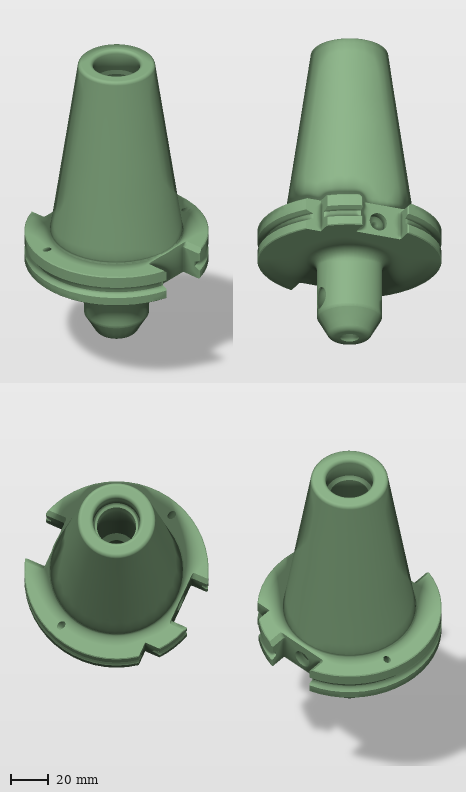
import cadquery as cq
import math


TOTAL_HEIGHT = 164.6

NOSE_RADIUS = 17.3
NOSE_CONE_HEIGHT = 11.7
NOSE_CONE_HALF_ANGLE = 30.0
NOSE_TIP_FILLET = 4.0
NOSE_SHOULDER_FILLET = 3.1
NOSE_ROOT_FILLET = 5.0

FLANGE_RADIUS = 48.7
FLANGE_BOTTOM = 44.0
FLANGE_TOP = 61.7
FLANGE_CHAMFER = 0.5

GROOVE_FLOOR_RADIUS = 45.5
GROOVE_FLOOR_BOTTOM = 50.5
GROOVE_FLOOR_TOP = 53.5
GROOVE_FLANK_RADIUS = 46.4
GROOVE_FLANK_HEIGHT = 1.3
GROOVE_WALL_HEIGHT = 0.3

TAPER_BOTTOM = 63.2
TAPER_LARGE_RADIUS = 35.0
TAPER_LAND_HEIGHT = 0.3
TAPER_SLOPE = 7 / 24 / 2
TAPER_TIP_FILLET = 2.0
UNDERCUT_RADIUS = 34.9
UNDERCUT_FILLET = 1.0

MOUTH_RADIUS = 12.5
MOUTH_DEPTH = 11.9
MOUTH_FILLET = 2.0
THREAD_RADIUS = 10.4
THREAD_BOTTOM = 98.8
RELIEF_RADIUS = 7.0
RELIEF_BOTTOM = 49.4
SHANK_RADIUS = 5.0
BORE_CONE_HALF_ANGLE = 60.0

SLOT_HALF_WIDTH = 12.8
SLOT_FLOOR_LEFT = 37.4
SLOT_FLOOR_RIGHT = 35.5
SLOT_CORNER_FILLET = 0.8
SLOT_TOP_CHAMFER = 2.5
SLOT_MOUTH_CHAMFER = 0.8

NOTCH_CORNER = 30.0

CHIP_RADIUS = 5.0
CHIP_DEPTH = 4.6
CHIP_HEIGHT = 51.8
CHIP_DIMPLE_RADIUS = 1.8
CHIP_DIMPLE_DEPTH = 1.0

COOLANT_RADIUS = 1.8
COOLANT_CIRCLE_RADIUS = 42.0
COOLANT_ANGLES = (70.0, 250.0)
COOLANT_TILT = 45.0
COOLANT_DEPTH = 9.9

SCREW_RADIUS = 6.0
SCREW_HEIGHT = 19.8
SCREW_TIP = 3.8
SCREW_LENGTH = 12.0
SCREW_TIP_CHAMFER = 1.3

FLANGE_THICKNESS = FLANGE_TOP - FLANGE_BOTTOM


def revolve(outline):
    """Turn a closed (radius, z) outline around the Z axis."""
    return outline.close().revolve(360, (0, 0, 0), (0, 1, 0))


def circle_edge(radius, z):
    """Selector for the circular edges of this radius at height z, centred on the axis."""
    margin = 0.08
    return cq.selectors.BoxSelector(
        (-radius - margin, -radius - margin, z - margin),
        (radius + margin, radius + margin, z + margin),
        boundingbox=True,
    )


def turned_blank():
    """Nose, flange and taper as one turned shape, without the bore."""
    tip_radius = NOSE_RADIUS - NOSE_CONE_HEIGHT * math.tan(math.radians(NOSE_CONE_HALF_ANGLE))
    taper_small_radius = TAPER_LARGE_RADIUS - (TOTAL_HEIGHT - TAPER_BOTTOM) * TAPER_SLOPE
    land_bottom = TAPER_BOTTOM - TAPER_LAND_HEIGHT
    lower_wall_start = GROOVE_FLOOR_BOTTOM - GROOVE_WALL_HEIGHT
    upper_wall_start = GROOVE_FLOOR_TOP + GROOVE_WALL_HEIGHT
    rim_radius = FLANGE_RADIUS - FLANGE_CHAMFER
    blank = revolve(
        cq.Workplane("XZ")
        .moveTo(0, 0)
        .lineTo(tip_radius, 0)
        .lineTo(NOSE_RADIUS, NOSE_CONE_HEIGHT)
        .lineTo(NOSE_RADIUS, FLANGE_BOTTOM)
        .lineTo(rim_radius, FLANGE_BOTTOM)
        .lineTo(FLANGE_RADIUS, FLANGE_BOTTOM + FLANGE_CHAMFER)
        .lineTo(FLANGE_RADIUS, lower_wall_start - GROOVE_FLANK_HEIGHT)
        .lineTo(GROOVE_FLANK_RADIUS, lower_wall_start)
        .lineTo(GROOVE_FLOOR_RADIUS, GROOVE_FLOOR_BOTTOM)
        .lineTo(GROOVE_FLOOR_RADIUS, GROOVE_FLOOR_TOP)
        .lineTo(GROOVE_FLANK_RADIUS, upper_wall_start)
        .lineTo(FLANGE_RADIUS, upper_wall_start + GROOVE_FLANK_HEIGHT)
        .lineTo(FLANGE_RADIUS, FLANGE_TOP - FLANGE_CHAMFER)
        .lineTo(rim_radius, FLANGE_TOP)
        .lineTo(UNDERCUT_RADIUS, FLANGE_TOP)
        .lineTo(UNDERCUT_RADIUS, land_bottom)
        .lineTo(TAPER_LARGE_RADIUS, land_bottom)
        .lineTo(TAPER_LARGE_RADIUS, TAPER_BOTTOM)
        .lineTo(taper_small_radius, TOTAL_HEIGHT)
        .lineTo(0, TOTAL_HEIGHT)
    )
    blank = blank.edges(circle_edge(tip_radius, 0)).fillet(NOSE_TIP_FILLET)
    blank = blank.edges(circle_edge(NOSE_RADIUS, NOSE_CONE_HEIGHT)).fillet(NOSE_SHOULDER_FILLET)
    blank = blank.edges(circle_edge(NOSE_RADIUS, FLANGE_BOTTOM)).fillet(NOSE_ROOT_FILLET)
    blank = blank.edges(circle_edge(UNDERCUT_RADIUS, FLANGE_TOP)).fillet(UNDERCUT_FILLET)
    return blank.edges(circle_edge(taper_small_radius, TOTAL_HEIGHT)).fillet(TAPER_TIP_FILLET)


def bore():
    """Stepped through bore with conical steps and a rounded mouth."""
    cone_slope = 1 / math.tan(math.radians(BORE_CONE_HALF_ANGLE))
    mouth_bottom = TOTAL_HEIGHT - MOUTH_DEPTH
    return revolve(
        cq.Workplane("XZ")
        .moveTo(0, 0)
        .lineTo(SHANK_RADIUS, 0)
        .lineTo(SHANK_RADIUS, RELIEF_BOTTOM - (RELIEF_RADIUS - SHANK_RADIUS) * cone_slope)
        .lineTo(RELIEF_RADIUS, RELIEF_BOTTOM)
        .lineTo(RELIEF_RADIUS, THREAD_BOTTOM - (THREAD_RADIUS - RELIEF_RADIUS) * cone_slope)
        .lineTo(THREAD_RADIUS, THREAD_BOTTOM)
        .lineTo(THREAD_RADIUS, mouth_bottom - (MOUTH_RADIUS - THREAD_RADIUS) * cone_slope)
        .lineTo(MOUTH_RADIUS, mouth_bottom)
        .lineTo(MOUTH_RADIUS, TOTAL_HEIGHT - MOUTH_FILLET)
        .radiusArc((MOUTH_RADIUS + MOUTH_FILLET, TOTAL_HEIGHT), MOUTH_FILLET)
        .lineTo(0, TOTAL_HEIGHT)
    )


def drive_slot(floor):
    """Cutter for the +X drive slot, with its floor at x = floor."""
    wall_end = math.sqrt(FLANGE_RADIUS**2 - SLOT_HALF_WIDTH**2)
    top_half_width = SLOT_HALF_WIDTH + SLOT_TOP_CHAMFER
    chamfer_bottom = FLANGE_TOP - SLOT_TOP_CHAMFER
    slot = (
        cq.Workplane("YZ", origin=(floor, 0, 0))
        .moveTo(-SLOT_HALF_WIDTH, FLANGE_BOTTOM)
        .lineTo(-SLOT_HALF_WIDTH, chamfer_bottom)
        .lineTo(-top_half_width, FLANGE_TOP)
        .lineTo(top_half_width, FLANGE_TOP)
        .lineTo(SLOT_HALF_WIDTH, chamfer_bottom)
        .lineTo(SLOT_HALF_WIDTH, FLANGE_BOTTOM)
        .close()
        .extrude(FLANGE_RADIUS - floor)
        .faces("<X")
        .edges("not |Y")
        .fillet(SLOT_CORNER_FILLET)
    )
    mouth_start = wall_end - SLOT_MOUTH_CHAMFER
    mouth_growth = FLANGE_RADIUS - mouth_start
    mouth_chamfer = (
        cq.Workplane("XY", origin=(0, 0, FLANGE_BOTTOM))
        .moveTo(mouth_start, -SLOT_HALF_WIDTH)
        .lineTo(mouth_start, SLOT_HALF_WIDTH)
        .lineTo(FLANGE_RADIUS, SLOT_HALF_WIDTH + mouth_growth)
        .lineTo(FLANGE_RADIUS, -SLOT_HALF_WIDTH - mouth_growth)
        .close()
        .extrude(FLANGE_THICKNESS)
    )
    return slot.union(mouth_chamfer)


def orientation_notch():
    """Square-cornered notch through the flange rim in the -X, +Y quarter."""
    side = FLANGE_RADIUS - NOTCH_CORNER
    return (
        cq.Workplane("XY")
        .box(side, side, FLANGE_THICKNESS, centered=False)
        .translate((-FLANGE_RADIUS, NOTCH_CORNER, FLANGE_BOTTOM))
    )


def chip_recess():
    """Round flat-bottomed recess with a drill-point dimple, entering from -X."""
    return (
        cq.Workplane("XY")
        .lineTo(CHIP_RADIUS, 0)
        .lineTo(CHIP_RADIUS, CHIP_DEPTH)
        .lineTo(CHIP_DIMPLE_RADIUS, CHIP_DEPTH)
        .lineTo(0, CHIP_DEPTH + CHIP_DIMPLE_DEPTH)
        .close()
        .revolve(360, (0, 0, 0), (0, 1, 0))
        .rotate((0, 0, 0), (0, 0, 1), -90)
        .translate((-SLOT_FLOOR_LEFT, 0, CHIP_HEIGHT))
    )


def coolant_hole(angle):
    """Slanted blind hole that opens in the flange top at the given angle around Z."""
    overrun = 2 * COOLANT_RADIUS
    return (
        cq.Workplane("XY", origin=(0, 0, -COOLANT_DEPTH))
        .circle(COOLANT_RADIUS)
        .extrude(COOLANT_DEPTH + overrun)
        .rotate((0, 0, 0), (0, 1, 0), COOLANT_TILT)
        .translate((COOLANT_CIRCLE_RADIUS, 0, FLANGE_TOP))
        .rotate((0, 0, 0), (0, 0, 1), angle)
    )


def screw_hole():
    """Cross hole from the axis out through the +Y side of the nose."""
    return (
        cq.Workplane("XZ", origin=(0, 0, SCREW_HEIGHT))
        .circle(SCREW_RADIUS)
        .extrude(-NOSE_RADIUS)
    )


def make_holder():
    holder = turned_blank().cut(bore())
    left_slot = drive_slot(SLOT_FLOOR_LEFT).rotate((0, 0, 0), (0, 0, 1), 180)
    holder = holder.cut(left_slot).cut(drive_slot(SLOT_FLOOR_RIGHT))
    holder = holder.cut(orientation_notch()).cut(chip_recess())
    for angle in COOLANT_ANGLES:
        holder = holder.cut(coolant_hole(angle))
    return holder.cut(screw_hole())


def make_clamping_screw():
    """Headless screw whose chamfered tip reaches into the shank bore."""
    return (
        cq.Workplane("XZ", origin=(0, SCREW_TIP, SCREW_HEIGHT))
        .circle(SCREW_RADIUS)
        .extrude(-SCREW_LENGTH)
        .faces("<Y")
        .chamfer(SCREW_TIP_CHAMFER)
    )


holder = make_holder()
clamping_screw = make_clamping_screw()

result = cq.Compound.makeCompound([holder.val(), clamping_screw.val()])